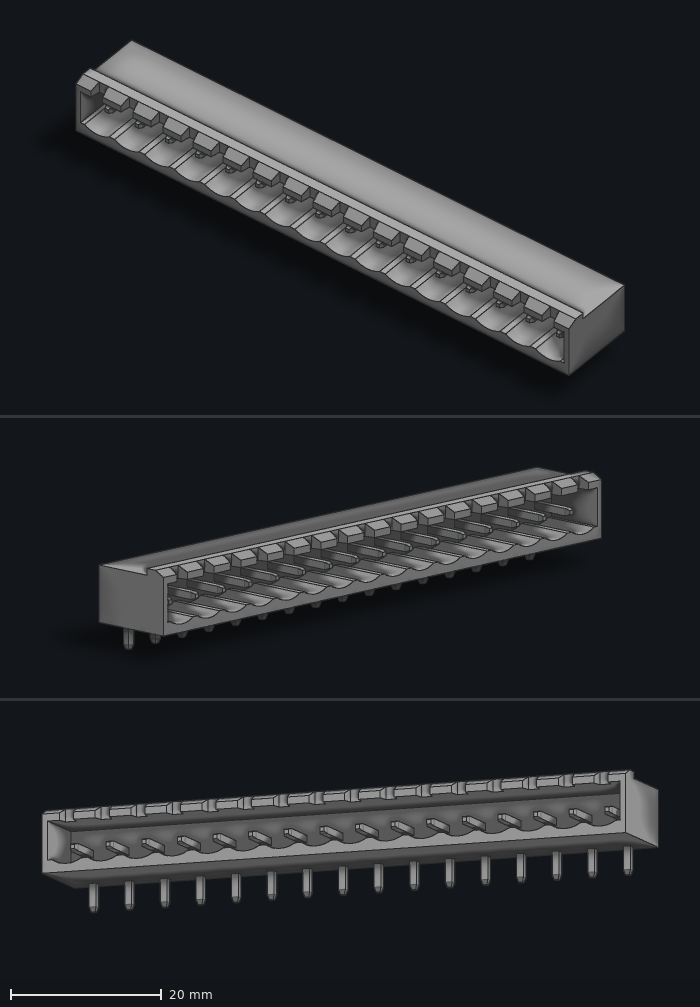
import cadquery as cq


LENGTH = 83.3
DEPTH = 12.0
LEDGE_HEIGHT = 7.8
CREST_HEIGHT = 8.75
RIDGE_DEPTH = 3.1
SLOPE_DEPTH = 1.5
SLOPE_DROP = 0.75

PIN_COUNT = 16
PITCH = 5.1
PIN_SIZE = 1.0
PIN_AXIS_Z = 3.75
PIN_TIP_Y = 2.2
PIN_BACK_OFFSET = 2.1
OVERALL_HEIGHT = 12.6
TAPER_LENGTH = 0.7
TIP_SIZE = 0.6
LEG_AXIS_Y = DEPTH - PIN_BACK_OFFSET
PIN_BOTTOM_Z = CREST_HEIGHT - OVERALL_HEIGHT

WALL = 0.8
CAVITY_DEPTH = 8.5
CAVITY_FLOOR_Z = 1.75
CAVITY_TOP_Z = 7.0
SCALLOP_WIDTH = 4.2
SCALLOP_DEPTH = 0.625

NOTCH_BACK_WIDTH = 1.5
NOTCH_FRONT_WIDTH = 2.0

PIN_XS = [(i - (PIN_COUNT - 1) / 2) * PITCH for i in range(PIN_COUNT)]


def make_housing():
    """Stepped side profile with a sloped ridge, extruded along the row."""
    return (
        cq.Workplane("YZ", origin=(-LENGTH / 2, 0, 0))
        .polyline([
            (0, 0),
            (DEPTH, 0),
            (DEPTH, LEDGE_HEIGHT),
            (RIDGE_DEPTH, LEDGE_HEIGHT),
            (RIDGE_DEPTH, CREST_HEIGHT),
            (SLOPE_DEPTH, CREST_HEIGHT),
            (0, CREST_HEIGHT - SLOPE_DROP),
        ])
        .close()
        .extrude(LENGTH)
    )


def make_cavity():
    """Plug cavity open at the mating face, its floor scalloped under each contact."""
    half_width = LENGTH / 2 - WALL
    outline = (
        cq.Workplane("XZ")
        .moveTo(-half_width, CAVITY_TOP_Z)
        .lineTo(-half_width, CAVITY_FLOOR_Z)
    )
    for x in PIN_XS:
        outline = outline.lineTo(x - SCALLOP_WIDTH / 2, CAVITY_FLOOR_Z).threePointArc(
            (x, CAVITY_FLOOR_Z - SCALLOP_DEPTH),
            (x + SCALLOP_WIDTH / 2, CAVITY_FLOOR_Z),
        )
    return (
        outline.lineTo(half_width, CAVITY_FLOOR_Z)
        .lineTo(half_width, CAVITY_TOP_Z)
        .close()
        .extrude(-CAVITY_DEPTH)
    )


def make_notch(x):
    """Flared notch cutting the sloped part of the top wall above one contact."""
    return (
        cq.Workplane("XY", origin=(x, 0, CAVITY_TOP_Z))
        .polyline([
            (-NOTCH_FRONT_WIDTH / 2, 0),
            (NOTCH_FRONT_WIDTH / 2, 0),
            (NOTCH_BACK_WIDTH / 2, SLOPE_DEPTH),
            (-NOTCH_BACK_WIDTH / 2, SLOPE_DEPTH),
        ])
        .close()
        .extrude(CREST_HEIGHT - CAVITY_TOP_Z)
    )


def make_tapered_bar(plane, length):
    """Square bar along the plane normal, ending in a tapered tip."""
    straight = length - TAPER_LENGTH
    return (
        cq.Workplane(plane)
        .rect(PIN_SIZE, PIN_SIZE)
        .extrude(straight)
        .faces(cq.selectors.DirectionMinMaxSelector(plane.zDir, True))
        .workplane()
        .rect(PIN_SIZE, PIN_SIZE)
        .workplane(offset=TAPER_LENGTH)
        .rect(TIP_SIZE, TIP_SIZE)
        .loft(combine=True)
    )


def make_pin(x):
    """L-shaped pin: contact towards -Y and solder leg towards -Z."""
    contact_start = LEG_AXIS_Y + PIN_SIZE / 2
    leg_start = PIN_AXIS_Z + PIN_SIZE / 2
    contact_plane = cq.Plane(origin=(x, contact_start, PIN_AXIS_Z), xDir=(1, 0, 0), normal=(0, -1, 0))
    leg_plane = cq.Plane(origin=(x, LEG_AXIS_Y, leg_start), xDir=(1, 0, 0), normal=(0, 0, -1))
    contact = make_tapered_bar(contact_plane, contact_start - PIN_TIP_Y)
    leg = make_tapered_bar(leg_plane, leg_start - PIN_BOTTOM_Z)
    return contact.union(leg)


result = make_housing().cut(make_cavity())
for pin_x in PIN_XS:
    result = result.cut(make_notch(pin_x)).union(make_pin(pin_x))